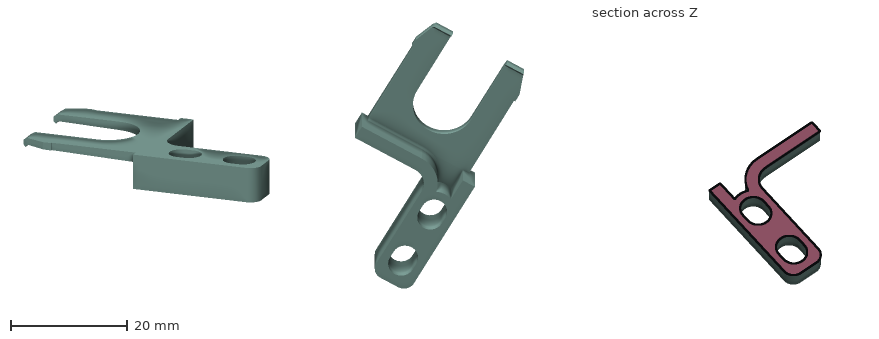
import cadquery as cq
import math

length = 44.2
width = 22.5
height = 6.2

wall_front_x = 21.25
wall_thickness = 2.4
wall_back_x = wall_front_x + wall_thickness
arm_width = 7.5
arm_mid_y = arm_width / 2
arm_corner_radius = 2.0
bend_outer_radius = 3.0
bend_inner_radius = bend_outer_radius + wall_thickness
bend_center_x = wall_front_x + bend_inner_radius
bend_y = arm_width + bend_outer_radius

slot_width = 4.5
slot_length = 5.8
slot_pitch = 10.0
first_slot_x = 29.45
slot_count = 2

boss_wall = 1.5
boss_radius = slot_width / 2 + boss_wall
boss_x = first_slot_x - (slot_length - slot_width) / 2

fork_mid_y = width / 2
fork_half_width = 10.05
head_half_width = 10.3
tip_half_width = 8.75
head_start_x = 4.22
head_end_x = 5.7
notch_radius = 5.4
notch_center_x = 12.35

underside_angle = 1.5
underside_start_x = 0.85
underside_start_depth = 1.21
tip_bevel_length = 0.8
tip_bevel_depth = 0.5
nose_depth = 1.35
hook_x = 0.43
hook_depth = 1.72
root_fillet_radius = 0.43
fillet_overlap = 0.1

underside_drop = (wall_front_x - underside_start_x) * math.tan(math.radians(underside_angle))
root_depth = underside_start_depth + underside_drop


def make_block():
    """Full-height wall and arm, joined by an outer fillet."""
    bend_mid = bend_outer_radius * (1 - math.sqrt(0.5))
    block = (
        cq.Workplane("XY")
        .moveTo(wall_front_x, 0)
        .lineTo(length, 0)
        .lineTo(length, arm_width)
        .lineTo(wall_back_x + bend_outer_radius, arm_width)
        .threePointArc((wall_back_x + bend_mid, arm_width + bend_mid), (wall_back_x, bend_y))
        .lineTo(wall_back_x, width)
        .lineTo(wall_front_x, width)
        .close()
        .extrude(-height)
    )
    return block.edges("|Z and >X").fillet(arm_corner_radius)


def add_wall_and_bend(path):
    """Add the wall's -X face and inner bend to a path, ending on the arm's inner face."""
    diagonal = bend_inner_radius * math.sqrt(0.5)
    return path.lineTo(wall_front_x, bend_y).threePointArc(
        (bend_center_x - diagonal, bend_y - diagonal),
        (bend_center_x, bend_y - bend_inner_radius),
    )


def make_channel():
    """Open space below the plate between the arm's outer wall, the bend and the slot boss."""
    start = (
        cq.Workplane("XY")
        .workplane(offset=-height)
        .moveTo(boss_x, wall_thickness)
        .lineTo(wall_front_x, wall_thickness)
    )
    room = (
        add_wall_and_bend(start)
        .lineTo(boss_x, bend_y - bend_inner_radius)
        .close()
        .extrude(height - root_depth)
    )
    boss = (
        cq.Workplane("XY")
        .center(boss_x, arm_mid_y)
        .circle(boss_radius)
        .extrude(-height)
    )
    return room.cut(boss)


def make_fork():
    """Plan outline of the fork intersected with its hooked, tapering side profile."""
    half_outline = [
        (0, tip_half_width),
        (head_start_x, head_half_width),
        (head_end_x, head_half_width),
        (head_end_x, fork_half_width),
        (wall_back_x, fork_half_width),
    ]
    mirrored = [(x, -y) for x, y in reversed(half_outline)]
    plan = (
        cq.Workplane("XY")
        .center(0, fork_mid_y)
        .polyline(half_outline + mirrored)
        .close()
        .extrude(-height)
    )
    profile = (
        cq.Workplane("XZ")
        .polyline([
            (tip_bevel_length, 0),
            (0, -tip_bevel_depth),
            (0, -nose_depth),
            (hook_x, -hook_depth),
            (underside_start_x, -underside_start_depth),
            (wall_front_x, -root_depth),
            (wall_back_x, -root_depth),
            (wall_back_x, 0),
        ])
        .close()
        .extrude(-width)
    )
    notch = (
        cq.Workplane("XY")
        .center(0, fork_mid_y)
        .rect(2 * notch_center_x, 2 * notch_radius)
        .extrude(-height)
        .union(
            cq.Workplane("XY")
            .center(notch_center_x, fork_mid_y)
            .circle(notch_radius)
            .extrude(-height)
        )
    )
    return plan.intersect(profile).cut(notch)


def make_root_fillet():
    """Concave fillet under the plate, along the wall and around the bend to the boss."""
    fork_edge_y = fork_mid_y + fork_half_width
    start = cq.Workplane("XY").workplane(offset=-root_depth).moveTo(wall_front_x, fork_edge_y)
    path = add_wall_and_bend(start)
    arc_offset = root_fillet_radius * (1 - math.sqrt(0.5))
    return (
        cq.Workplane("XZ", origin=(wall_front_x, fork_edge_y, -root_depth))
        .moveTo(fillet_overlap, fillet_overlap)
        .lineTo(-root_fillet_radius, fillet_overlap)
        .lineTo(-root_fillet_radius, 0)
        .threePointArc((-arc_offset, -arc_offset), (0, -root_fillet_radius))
        .lineTo(fillet_overlap, -root_fillet_radius)
        .close()
        .sweep(path)
    )


def make_slots():
    """Row of obround holes through the arm."""
    return (
        cq.Workplane("XY")
        .pushPoints([(first_slot_x + i * slot_pitch, arm_mid_y) for i in range(slot_count)])
        .slot2D(slot_length, slot_width)
        .extrude(-height)
    )


block = make_block().cut(make_channel())
result = block.union(make_fork()).union(make_root_fillet()).cut(make_slots())